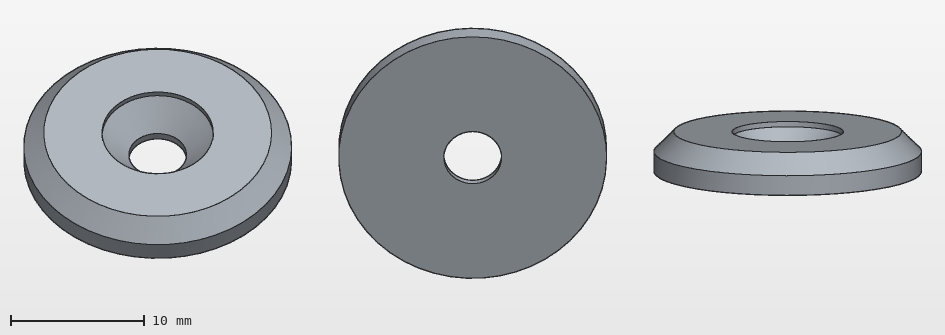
import cadquery as cq

outer_diameter = 20.0
thickness = 3.0
edge_chamfer = thickness / 2

hole_diameter = 4.3
head_diameter = 8.3
head_recess_depth = 0.4
cone_depth = (head_diameter - hole_diameter) / 2

body = cq.Workplane("XY").circle(outer_diameter / 2).extrude(thickness)
body = body.faces(">Z").edges().chamfer(edge_chamfer)

cone_top = thickness - head_recess_depth
cone_bottom = cone_top - cone_depth
screw_clearance = (
    cq.Workplane("XZ")
    .lineTo(hole_diameter / 2, 0)
    .lineTo(hole_diameter / 2, cone_bottom)
    .lineTo(head_diameter / 2, cone_top)
    .lineTo(head_diameter / 2, thickness)
    .lineTo(0, thickness)
    .close()
    .revolve(360, (0, 0, 0), (0, 1, 0))
)

result = body.cut(screw_clearance)